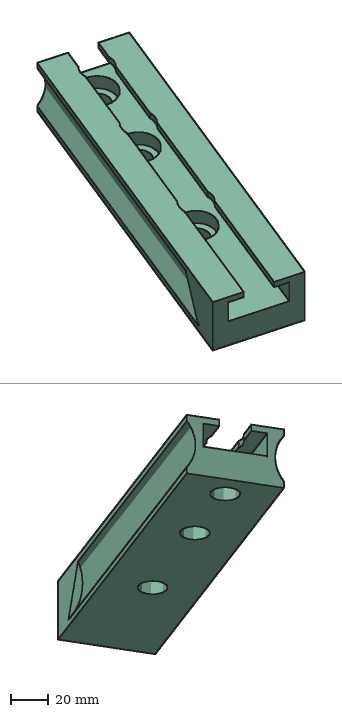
import cadquery as cq
import math

LENGTH = 213.0
WIDTH = 55.0
HEIGHT = 35.0

SLOT_OPENING = 18.0
SLOT_WIDTH = 36.2
SLOT_FLOOR = HEIGHT / 2
LIP_THICKNESS = 3.8

GROOVE_MARGIN = 3.8
GROOVE_DEPTH = 5.0
GROOVE_TOP_END = 180.0
GROOVE_END_ANGLE = 30.0

HOLE_POSITIONS = (17.0, 67.0, 137.0)
HOLE_DIAMETER = 16.0
COUNTERBORE_DIAMETER = 24.0
COUNTERBORE_DEPTH = 9.0
LIP_NOTCH_DIAMETER = 20.0


def make_slotted_block():
    """Block with a T-slot running its full length."""
    block = cq.Workplane("XY").box(LENGTH, WIDTH, HEIGHT, centered=(False, True, False))
    channel_height = HEIGHT - LIP_THICKNESS - SLOT_FLOOR
    channel = (
        cq.Workplane("XY", origin=(0, 0, SLOT_FLOOR))
        .box(LENGTH, SLOT_WIDTH, channel_height, centered=(False, True, False))
    )
    opening = (
        cq.Workplane("XY", origin=(0, 0, SLOT_FLOOR))
        .box(LENGTH, SLOT_OPENING, HEIGHT - SLOT_FLOOR, centered=(False, True, False))
    )
    return block.cut(channel).cut(opening)


def make_groove():
    """Arc-section groove of the -Y side, ended by a sloping plane."""
    bottom = GROOVE_MARGIN
    top = HEIGHT - GROOVE_MARGIN
    side = -WIDTH / 2
    bottom_end = GROOVE_TOP_END + (top - bottom) * math.tan(math.radians(GROOVE_END_ANGLE))
    scoop = (
        cq.Workplane("YZ")
        .moveTo(side, bottom)
        .threePointArc((side + GROOVE_DEPTH, HEIGHT / 2), (side, top))
        .close()
        .extrude(LENGTH)
    )
    sloped_limit = (
        cq.Workplane("XZ")
        .polyline([(0, bottom), (bottom_end, bottom), (GROOVE_TOP_END, top), (0, top)])
        .close()
        .extrude(WIDTH)
    )
    return scoop.intersect(sloped_limit)


def make_cylinder(x, diameter, bottom, top):
    """Vertical cylinder on the centre line between two heights."""
    return cq.Workplane("XY", origin=(x, 0, bottom)).circle(diameter / 2).extrude(top - bottom)


result = make_slotted_block()

groove = make_groove()
result = result.cut(groove).cut(groove.mirror("XZ"))

for hole_x in HOLE_POSITIONS:
    through_hole = make_cylinder(hole_x, HOLE_DIAMETER, 0, SLOT_FLOOR)
    counterbore = make_cylinder(hole_x, COUNTERBORE_DIAMETER, SLOT_FLOOR - COUNTERBORE_DEPTH, SLOT_FLOOR)
    lip_notch = make_cylinder(hole_x, LIP_NOTCH_DIAMETER, SLOT_FLOOR, HEIGHT)
    result = result.cut(through_hole).cut(counterbore).cut(lip_notch)